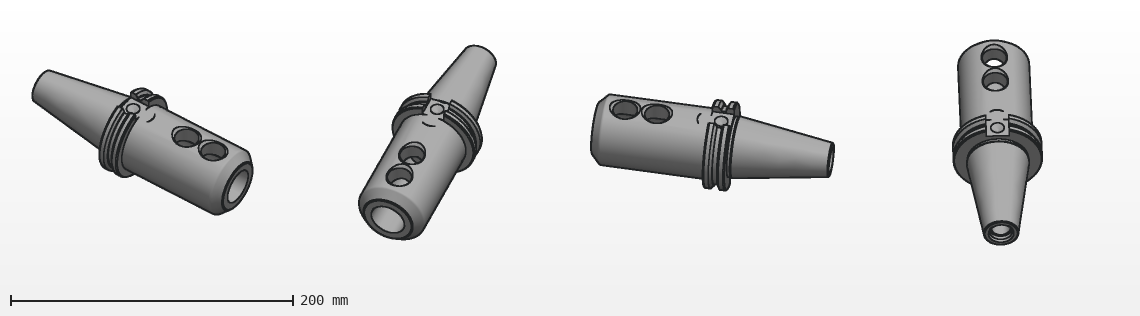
import cadquery as cq
import math

total_length = 169.8
gauge_x = 68.3
flange_start_x = 71.3
flange_width = 15.8
flange_end_x = flange_start_x + flange_width

taper_slope = 7 / 24 / 2
gauge_radius = 44.5 / 2
taper_end_radius = gauge_radius - gauge_x * taper_slope
taper_end_chamfer = 0.7
neck_radius = 43.7 / 2
neck_start_x = 69.3

flange_radius = 63.2 / 2
flange_chamfer = 1.0
flange_chamfer_depth = 0.7
groove_radius = 28.0
groove_wall_height = 1.0
groove_left_x = 75.8
groove_floor_start_x = 77.3
groove_floor_end_x = 80.7
groove_right_x = 82.9

body_radius = 50.8 / 2
nose_chamfer = 6.8
nose_angle = math.radians(45)
nose_blend_radius = 2.5
nose_edge_chamfer = 0.5

slot_width = 16.3
slot_end_x = 96.3
upper_slot_floor = 25.0
lower_slot_floor = 22.6
dimple_radius = 9.5 / 2
dimple_point_angle = 118.0

mouth_radius = 18.0 / 2
mouth_depth = 2.0
counterbore_radius = 16.3 / 2
counterbore_depth = 5.1
through_radius = 13.5 / 2
shank_radius = 25.5 / 2
shank_start_x = 101.9

screw_radius = 17.3 / 2
screw_positions_x = (125.5, 148.5)
countersink_bottom_z = 23.1


def make_holder():
    """Revolve the outer profile of taper, flange and body about the X axis."""
    groove_shoulder_radius = groove_radius + groove_wall_height
    nose_radius = body_radius - nose_chamfer

    nose_start_x = total_length - nose_chamfer
    half_turn = nose_angle / 2
    tangent_length = nose_blend_radius * math.tan(half_turn)
    diagonal_step = tangent_length * math.cos(nose_angle)
    blend_start_x = nose_start_x - tangent_length
    blend_center_radius = body_radius - nose_blend_radius
    blend_middle = (
        blend_start_x + nose_blend_radius * math.sin(half_turn),
        blend_center_radius + nose_blend_radius * math.cos(half_turn),
    )
    blend_end = (nose_start_x + diagonal_step, body_radius - diagonal_step)

    return (
        cq.Workplane("XY")
        .moveTo(0, 0)
        .lineTo(0, taper_end_radius - taper_end_chamfer)
        .lineTo(taper_end_chamfer, taper_end_radius + taper_end_chamfer * taper_slope)
        .lineTo(gauge_x, gauge_radius)
        .lineTo(neck_start_x, neck_radius)
        .lineTo(flange_start_x, neck_radius)
        .lineTo(flange_start_x, flange_radius - flange_chamfer_depth)
        .lineTo(flange_start_x + flange_chamfer, flange_radius)
        .lineTo(groove_left_x, flange_radius)
        .lineTo(groove_floor_start_x, groove_shoulder_radius)
        .lineTo(groove_floor_start_x, groove_radius)
        .lineTo(groove_floor_end_x, groove_radius)
        .lineTo(groove_floor_end_x, groove_shoulder_radius)
        .lineTo(groove_right_x, flange_radius)
        .lineTo(flange_end_x - flange_chamfer, flange_radius)
        .lineTo(flange_end_x, flange_radius - flange_chamfer_depth)
        .lineTo(flange_end_x, body_radius)
        .lineTo(blend_start_x, body_radius)
        .threePointArc(blend_middle, blend_end)
        .lineTo(total_length - nose_edge_chamfer, nose_radius + nose_edge_chamfer)
        .lineTo(total_length, nose_radius - nose_edge_chamfer)
        .lineTo(total_length, 0)
        .close()
        .revolve(360, (0, 0, 0), (1, 0, 0))
    )


def make_slot(floor):
    """Round-ended slot that opens past the taper side of the flange, above the floor."""
    end_radius = slot_width / 2
    arc_center_x = slot_end_x - end_radius
    return (
        cq.Workplane("XY", origin=(0, 0, floor))
        .moveTo(0, -end_radius)
        .lineTo(arc_center_x, -end_radius)
        .threePointArc((slot_end_x, 0), (arc_center_x, end_radius))
        .lineTo(0, end_radius)
        .close()
        .extrude(flange_radius - floor)
    )


def make_dimple():
    """Conical drill point in the middle of the upper slot floor."""
    depth = dimple_radius / math.tan(math.radians(dimple_point_angle / 2))
    center = cq.Vector((flange_start_x + flange_end_x) / 2, 0, upper_slot_floor)
    return cq.Solid.makeCone(dimple_radius, 0, depth, center, cq.Vector(0, 0, -1))


def make_bore(radius, start_x, end_x):
    """Cylinder about the X axis between two stations."""
    return cq.Workplane("YZ", origin=(start_x, 0, 0)).circle(radius).extrude(end_x - start_x)


def make_mouth():
    """Conical lead-in at the small end of the taper."""
    return cq.Solid.makeCone(
        mouth_radius, counterbore_radius, mouth_depth, cq.Vector(0, 0, 0), cq.Vector(1, 0, 0)
    )


def make_screw_hole(x):
    """Radial hole from the bore to the top of the body, with its countersink."""
    hole = cq.Workplane("XY", origin=(x, 0, 0)).circle(screw_radius).extrude(body_radius)
    countersink_depth = body_radius - countersink_bottom_z
    countersink = cq.Solid.makeCone(
        screw_radius,
        screw_radius + countersink_depth,
        countersink_depth,
        cq.Vector(x, 0, countersink_bottom_z),
        cq.Vector(0, 0, 1),
    )
    return hole.union(cq.Workplane(countersink))


result = make_holder()

upper_slot = make_slot(upper_slot_floor)
lower_slot = make_slot(lower_slot_floor).rotate((0, 0, 0), (1, 0, 0), 180)
result = result.cut(upper_slot).cut(lower_slot).cut(cq.Workplane(make_dimple()))

result = result.cut(make_bore(through_radius, 0, total_length))
result = result.cut(make_bore(counterbore_radius, 0, counterbore_depth))
result = result.cut(cq.Workplane(make_mouth()))
result = result.cut(make_bore(shank_radius, shank_start_x, total_length))

for screw_x in screw_positions_x:
    result = result.cut(make_screw_hole(screw_x))